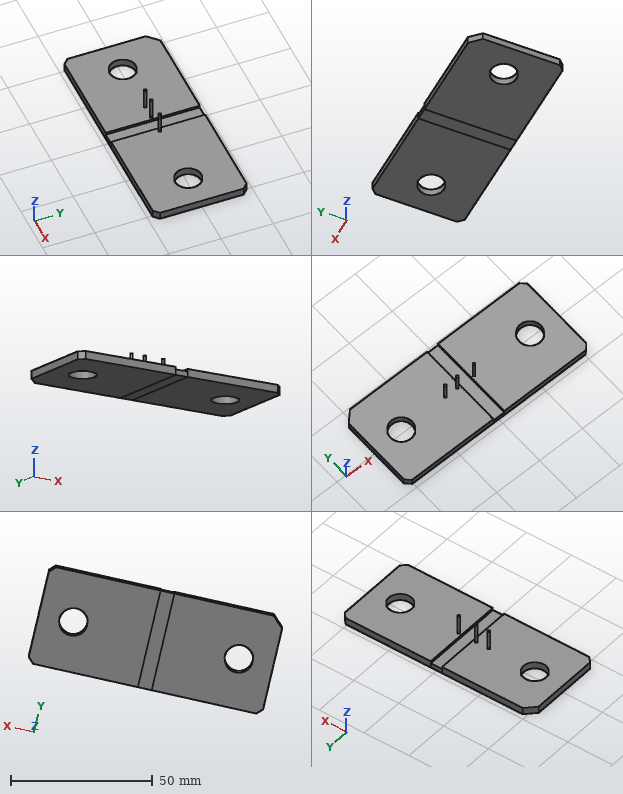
import cadquery as cq

length = 85.0
width = 36.0
height = 11.05

plate_thickness = 3.0
strip_length = 5.0
strip_thickness = 2.0
plate_length = (length - strip_length) / 2

hole_diameter = 10.0
hole_spacing = 60.0
corner_chamfer = 2.0
marked_corner_chamfer = 4.0

pin_diameter = 1.0
pin_height = height - plate_thickness
pin_edge_distance = 1.4
pin_pitch = 5.6
inner_pin_x = strip_length / 2 + pin_edge_distance
pin_positions = [-inner_pin_x - pin_pitch, -inner_pin_x, inner_pin_x]


def make_terminal_plate(side, back_chamfer):
    """Plate on the -X (side = -1) or +X (side = 1) end, with a bolt hole and two cut outer corners."""
    inner_x = side * strip_length / 2
    outer_x = side * length / 2
    half_width = width / 2
    outline = [
        (inner_x, -half_width),
        (outer_x - side * corner_chamfer, -half_width),
        (outer_x, -half_width + corner_chamfer),
        (outer_x, half_width - back_chamfer),
        (outer_x - side * back_chamfer, half_width),
        (inner_x, half_width),
    ]
    plate = cq.Workplane("XY").polyline(outline).close().extrude(plate_thickness)
    bolt_hole = (
        cq.Workplane("XY")
        .center(side * hole_spacing / 2, 0)
        .circle(hole_diameter / 2)
        .extrude(plate_thickness)
    )
    return plate.cut(bolt_hole)


def make_resistive_strip():
    """Strip filling the gap between the plates, flush with their undersides."""
    return cq.Workplane("XY").box(strip_length, width, strip_thickness, centered=(True, True, False))


def make_sense_pin(x):
    """Round pin standing on the top face of a plate."""
    return (
        cq.Workplane("XY", origin=(x, 0, plate_thickness))
        .circle(pin_diameter / 2)
        .extrude(pin_height)
    )


left_plate = make_terminal_plate(-1, marked_corner_chamfer)
right_plate = make_terminal_plate(1, corner_chamfer)
resistive_strip = make_resistive_strip()
sense_pins = [make_sense_pin(x) for x in pin_positions]

result = cq.Compound.makeCompound([
    left_plate.val(),
    right_plate.val(),
    resistive_strip.val(),
    *[pin.val() for pin in sense_pins],
])